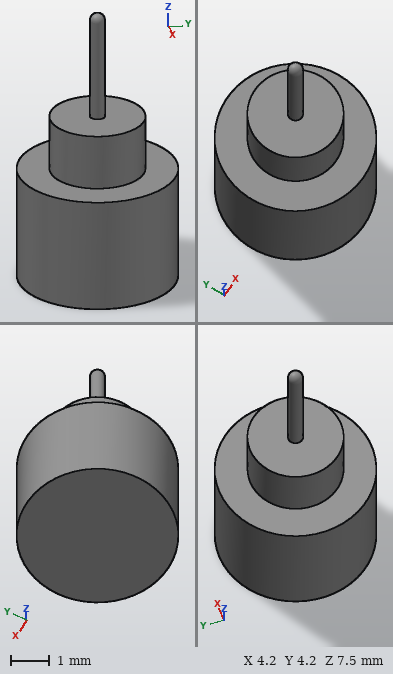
import cadquery as cq

total_height = 7.5
base_diameter = 4.2
base_height = 3.06
collar_diameter = 2.5
collar_top = 4.55
pin_diameter = 0.4

pin_radius = pin_diameter / 2
collar_height = collar_top - base_height
pin_length = total_height - collar_top

base = cq.Workplane("XY").circle(base_diameter / 2).extrude(base_height)

collar = (
    cq.Workplane("XY")
    .workplane(offset=base_height)
    .circle(collar_diameter / 2)
    .extrude(collar_height)
)

pin_shaft = (
    cq.Workplane("XY")
    .workplane(offset=collar_top)
    .circle(pin_radius)
    .extrude(pin_length - pin_radius)
)
pin_tip = cq.Workplane("XY").sphere(pin_radius).translate((0, 0, total_height - pin_radius))

result = base.union(collar).union(pin_shaft).union(pin_tip)